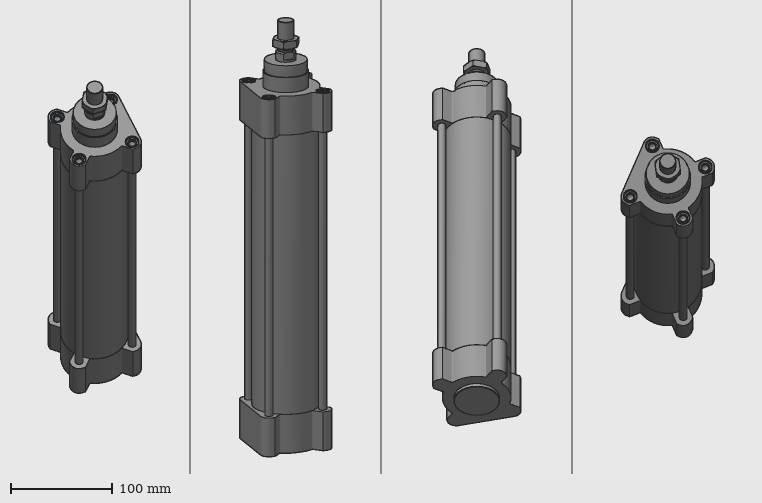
import cadquery as cq
import math

total_height = 443.0
rear_boss_height = 4.0
cap_height = 40.5
front_cap_bottom = 334.5
front_cap_top = front_cap_bottom + cap_height
collar_height = 15.5
gland_top = 402.5

cap_width = 75.0
half_width = cap_width / 2
cap_diameter = 68.0
tube_diameter = 67.5
tie_rod_offset = 28.5
ear_radius = half_width - tie_rod_offset
ear_corner = 25.3
root_radius = 1.5
edge_tolerance = 0.05
rear_cap_top = rear_boss_height + cap_height

boss_diameter = 45.0
gland_diameter = 42.5
gland_bulge = 0.5
rear_boss_chamfer = 0.5

tie_rod_diameter = 8.0
socket_step_depth = 1.1
socket_diameters = (13.7, 12.0, 9.0, 6.5)
socket_tip_depth = 2.0

rod_diameter = 20.0
rod_flats = 17.0
rod_shoulder = 412.0
shoulder_chamfer = 1.5
flat_bottom = 404.5
neck_diameter = 15.0
neck_height = 1.8
tip_chamfer = 0.5
thread_diameter = 16.0
bore_depth = 44.5

nut_flats = 24.0
nut_height = 8.0
nut_bottom = 416.5
nut_face_diameter = 25.0
nut_chamfer_angle = math.radians(30)


def disc(diameter, bottom, top):
    """Solid round cylinder on the Z axis between two heights."""
    return cq.Workplane("XY").workplane(offset=bottom).circle(diameter / 2).extrude(top - bottom)


def fillet_upright_edges(body, axis_distance, radius):
    """Rounds the vertical edges that stand at the given distance from the Z axis."""

    def is_chosen(edge):
        center = edge.Center()
        return abs(math.hypot(center.x, center.y) - axis_distance) < edge_tolerance

    edges = [edge for edge in body.edges("|Z").vals() if is_chosen(edge)]
    return body.newObject(edges).fillet(radius)


def make_cap(bottom):
    """Round block with four ears; the +Y side is closed flat between its two ears."""
    ear = (
        cq.Workplane("XY")
        .workplane(offset=bottom)
        .moveTo(0, 0)
        .lineTo(half_width - ear_corner, 0)
        .lineTo(half_width, ear_corner)
        .lineTo(half_width, half_width)
        .lineTo(ear_corner, half_width)
        .lineTo(0, half_width - ear_corner)
        .close()
        .extrude(cap_height)
    )
    cap = disc(cap_diameter, bottom, bottom + cap_height)
    for quarter in range(4):
        cap = cap.union(ear.rotate((0, 0, 0), (0, 0, 1), 90 * quarter))
    flat_side = (
        cq.Workplane("XY")
        .workplane(offset=bottom)
        .rect(2 * ear_corner, half_width)
        .extrude(cap_height)
        .translate((0, half_width / 2, 0))
    )
    cap = cap.union(flat_side).clean()

    cap = fillet_upright_edges(cap, math.hypot(half_width, half_width), ear_radius)
    return fillet_upright_edges(cap, cap_diameter / 2, root_radius)


def make_gland():
    """Slightly barrel-shaped ring that the piston rod comes out of."""
    bottom = front_cap_top + collar_height
    radius = gland_diameter / 2
    return (
        cq.Workplane("XZ")
        .moveTo(0, bottom)
        .lineTo(radius, bottom)
        .threePointArc((radius + gland_bulge, (bottom + gland_top) / 2), (radius, gland_top))
        .lineTo(0, gland_top)
        .close()
        .revolve()
    )


def make_socket():
    """Stepped hole at the end of a tie rod, narrowing downward to a cone."""
    profile = cq.Workplane("XZ").moveTo(0, front_cap_top)
    level = front_cap_top
    for diameter in socket_diameters:
        profile = profile.lineTo(diameter / 2, level)
        level -= socket_step_depth
        profile = profile.lineTo(diameter / 2, level)
    return profile.lineTo(0, level - socket_tip_depth).close().revolve()


def make_cylinder():
    """Tube between two end caps, with four tie rods and the rod gland in front."""
    body = make_cap(rear_boss_height).union(make_cap(front_cap_bottom))
    body = body.union(disc(tube_diameter, rear_cap_top, front_cap_bottom))
    body = body.union(disc(boss_diameter, 0, rear_boss_height).faces("<Z").chamfer(rear_boss_chamfer))
    body = body.union(disc(boss_diameter, front_cap_top, front_cap_top + collar_height))
    body = body.union(make_gland())
    for x in (-tie_rod_offset, tie_rod_offset):
        for y in (-tie_rod_offset, tie_rod_offset):
            tie_rod = disc(tie_rod_diameter, rear_cap_top, front_cap_bottom)
            body = body.union(tie_rod.translate((x, y, 0)))
            body = body.cut(make_socket().translate((x, y, 0)))
    return body.cut(disc(rod_diameter, gland_top - bore_depth, gland_top))


def make_piston_rod():
    """Rod with two wrench flats, a short neck and a thread at its free end."""
    rod = disc(rod_diameter, gland_top - bore_depth, rod_shoulder).faces(">Z").chamfer(shoulder_chamfer)
    flats = (
        cq.Workplane("XY")
        .workplane(offset=flat_bottom)
        .rect(rod_flats, 2 * rod_diameter)
        .extrude(rod_shoulder - flat_bottom)
    )
    rod = rod.intersect(flats.union(disc(2 * rod_diameter, 0, flat_bottom)))
    rod = rod.union(disc(neck_diameter, rod_shoulder, rod_shoulder + neck_height))
    thread = disc(thread_diameter, rod_shoulder + neck_height, total_height)
    return rod.union(thread.faces("<Z or >Z").chamfer(tip_chamfer))


def make_nut():
    """Hexagon nut with two of its sides facing -X and +X."""
    nut = (
        cq.Workplane("XY")
        .workplane(offset=nut_bottom)
        .polygon(6, nut_flats, circumscribed=True)
        .extrude(nut_height)
    )
    face_radius = nut_face_diameter / 2
    chamfer_reach = nut_height / 2 / math.tan(nut_chamfer_angle)
    nut_middle = nut_bottom + nut_height / 2
    nut_top = nut_bottom + nut_height
    cones = (
        cq.Workplane("XZ")
        .moveTo(0, nut_bottom)
        .lineTo(face_radius, nut_bottom)
        .lineTo(face_radius + chamfer_reach, nut_middle)
        .lineTo(face_radius, nut_top)
        .lineTo(0, nut_top)
        .close()
        .revolve()
    )
    nut = nut.intersect(cones)
    return nut.cut(disc(thread_diameter, 0, total_height))


cylinder = make_cylinder().solids()
piston_rod = make_piston_rod().solids()
nut = make_nut().solids()

result = cq.Compound.makeCompound([cylinder.val(), piston_rod.val(), nut.val()])